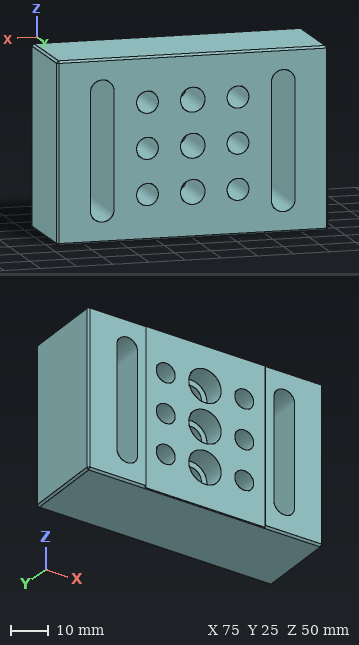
import cadquery as cq

LENGTH = 75.0
DEPTH = LENGTH / 3
HEIGHT = LENGTH * 2 / 3
EDGE_CHAMFER = 0.6

RELIEF_WIDTH = 38.1
RELIEF_DEPTH = 0.4

HOLE_PITCH = LENGTH / 6
SIDE_HOLE_DIAMETER = 6.0
BOLT_HOLE_DIAMETER = 6.75
COUNTERBORE_DIAMETER = 10.3
COUNTERBORE_DEPTH = 6.8

SLOT_OFFSET = 2 * HOLE_PITCH
SLOT_WIDTH = 6.6
SLOT_LENGTH = 38.5

FRONT_Y = -DEPTH / 2
BACK_Y = DEPTH / 2
RELIEF_Y = FRONT_Y + RELIEF_DEPTH
ROWS = (-HOLE_PITCH, 0, HOLE_PITCH)
COLUMNS = (-HOLE_PITCH, HOLE_PITCH)


def front_plane(y):
    """Sketch plane at the given Y, facing -Y, with X to the right and Z up."""
    return cq.Workplane("XZ", origin=(0, y, 0))


def make_block():
    """Rectangular block with every outer edge chamfered."""
    return cq.Workplane("XY").box(LENGTH, DEPTH, HEIGHT).edges().chamfer(EDGE_CHAMFER)


def make_relief():
    """Thin slab that recesses the middle of the front face."""
    return front_plane(RELIEF_Y).rect(RELIEF_WIDTH, HEIGHT).extrude(RELIEF_DEPTH)


def make_slots():
    """Round-ended slots passing right through the block."""
    centers = [(-SLOT_OFFSET, 0), (SLOT_OFFSET, 0)]
    return front_plane(BACK_Y).pushPoints(centers).slot2D(SLOT_LENGTH, SLOT_WIDTH, 90).extrude(DEPTH)


def make_side_holes():
    """Plain through holes in the two outer columns."""
    centers = [(x, z) for x in COLUMNS for z in ROWS]
    return front_plane(BACK_Y).pushPoints(centers).circle(SIDE_HOLE_DIAMETER / 2).extrude(DEPTH)


def make_bolt_holes():
    """Through holes in the middle column, counterbored from the relief face."""
    centers = [(0, z) for z in ROWS]
    bores = front_plane(BACK_Y).pushPoints(centers).circle(BOLT_HOLE_DIAMETER / 2).extrude(DEPTH)
    counterbores = (
        front_plane(RELIEF_Y + COUNTERBORE_DEPTH)
        .pushPoints(centers)
        .circle(COUNTERBORE_DIAMETER / 2)
        .extrude(COUNTERBORE_DEPTH)
    )
    return bores.union(counterbores)


result = (
    make_block()
    .cut(make_relief())
    .cut(make_slots())
    .cut(make_side_holes())
    .cut(make_bolt_holes())
)